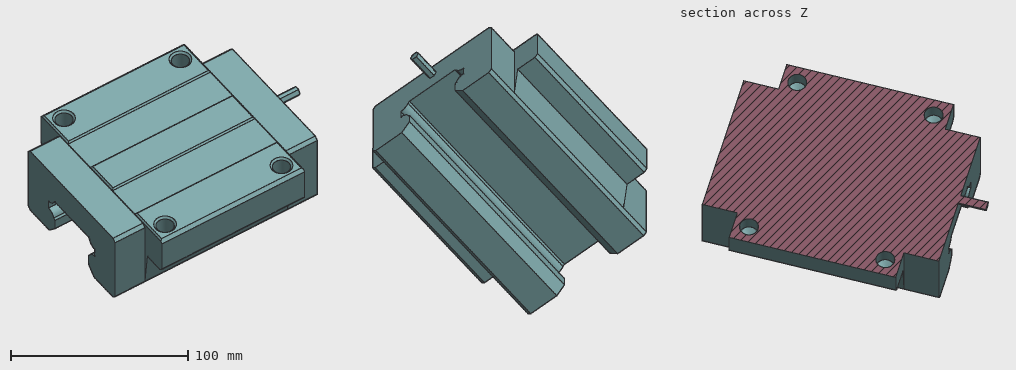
import cadquery as cq
import math


block_width = 120.0
block_height = 50.0
block_length = 98.0
flange_bottom = 25.0
edge_chamfer = 2.0
skirt_half_width_top = 45.5
skirt_half_width_bottom = 43.0

pad_rise = 1.0
pad_chamfer = 1.0
floor_z = block_height - pad_rise
side_pad_inner_x = 33.0
center_pad_half_width = 11.0

plate_width = 86.0
plate_height = 48.5
plate_thickness = 20.5

throat_half_width = 16.5
lip_mid_z = 20.55
throat_half_height = 7.65
slot_half_width = 22.8
slot_half_height = 2.85
lip_end_x = 17.6
lip_end_offset = 6.55
mouth_half_width = 22.1
mouth_height = 6.1

hole_spacing_x = 100.0
hole_spacing_y = 80.0
hole_diameter = 10.38
countersink_diameter = 12.8
hole_depth = 18.0
drill_tip_angle = 118.0

nipple_sides = 6
nipple_across_flats = 5.0
nipple_length = 16.0
nipple_z = 40.0

carriage_end_y = block_length / 2 + plate_thickness


def extrude_along_y(profile, start_y, length):
    """Extrude an XZ-plane profile from start_y towards +Y."""
    return profile.extrude(-length).translate((0, start_y, 0))


def make_block():
    half = block_width / 2
    right_side = [
        (skirt_half_width_bottom - edge_chamfer, 0),
        (skirt_half_width_bottom, edge_chamfer),
        (skirt_half_width_top, flange_bottom),
        (half - edge_chamfer, flange_bottom),
        (half, flange_bottom + edge_chamfer),
        (half, block_height - edge_chamfer),
        (half - edge_chamfer, block_height),
    ]
    left_side = [(-x, z) for x, z in reversed(right_side)]
    profile = cq.Workplane("XZ").polyline(right_side + left_side).close()
    return extrude_along_y(profile, -block_length / 2, block_length)


def make_top_groove(inner_x, outer_x):
    """Channel between two pads, with its walls sloped by the pad chamfer."""
    profile = cq.Workplane("XZ").polyline([
        (inner_x, floor_z),
        (outer_x, floor_z),
        (outer_x + pad_chamfer, block_height),
        (inner_x - pad_chamfer, block_height),
    ]).close()
    return extrude_along_y(profile, -block_length / 2, block_length)


def make_pad_end_bevel():
    """Wedge that bevels the pads at the +Y end of the block."""
    end_y = block_length / 2
    return (
        cq.Workplane("YZ")
        .polyline([(end_y, floor_z), (end_y, block_height), (end_y - pad_chamfer, block_height)])
        .close()
        .extrude(block_width / 2, both=True)
    )


def make_end_plate(start_y):
    profile = cq.Workplane("XZ").center(0, plate_height / 2).rect(plate_width, plate_height)
    return extrude_along_y(profile, start_y, plate_thickness).edges("|Y").chamfer(edge_chamfer)


def make_rail_channel():
    lip_run = slot_half_width - lip_end_x
    lip_drop = lip_end_offset - slot_half_height
    lip_radius = (lip_run**2 + lip_drop**2) / (2 * lip_drop)
    half_sweep = math.atan2(lip_drop, lip_run)
    lip_middle_x = slot_half_width - lip_radius * math.sin(half_sweep)
    lip_middle_offset = slot_half_height + lip_radius * (1 - math.cos(half_sweep))

    def lip(side, offset_sign):
        """Start, middle and end of one raceway lip, from the slot to the throat."""
        offsets = [
            (slot_half_width, slot_half_height),
            (lip_middle_x, lip_middle_offset),
            (lip_end_x, lip_end_offset),
        ]
        return [(side * x, lip_mid_z + offset_sign * dz) for x, dz in offsets]

    throat_bottom = lip_mid_z - throat_half_height
    throat_top = lip_mid_z + throat_half_height
    lower_right = lip(1, -1)
    upper_right = lip(1, 1)
    lower_left = lip(-1, -1)
    upper_left = lip(-1, 1)
    profile = (
        cq.Workplane("XZ")
        .moveTo(mouth_half_width, 0)
        .lineTo(throat_half_width, mouth_height)
        .lineTo(throat_half_width, throat_bottom)
        .lineTo(*lower_right[2])
        .threePointArc(lower_right[1], lower_right[0])
        .lineTo(*upper_right[0])
        .threePointArc(upper_right[1], upper_right[2])
        .lineTo(throat_half_width, throat_top)
        .lineTo(-throat_half_width, throat_top)
        .lineTo(*upper_left[2])
        .threePointArc(upper_left[1], upper_left[0])
        .lineTo(*lower_left[0])
        .threePointArc(lower_left[1], lower_left[2])
        .lineTo(-throat_half_width, throat_bottom)
        .lineTo(-throat_half_width, mouth_height)
        .lineTo(-mouth_half_width, 0)
        .close()
    )
    return extrude_along_y(profile, -carriage_end_y, 2 * carriage_end_y)


def make_mounting_hole():
    """Countersunk blind hole with a drill-point bottom, opening at the origin towards +Z."""
    radius = hole_diameter / 2
    countersink_radius = countersink_diameter / 2
    countersink_depth = countersink_radius - radius
    tip_depth = radius / math.tan(math.radians(drill_tip_angle / 2))
    return (
        cq.Workplane("XZ")
        .polyline([
            (0, 0),
            (countersink_radius, 0),
            (radius, -countersink_depth),
            (radius, -hole_depth),
            (0, -hole_depth - tip_depth),
        ])
        .close()
        .revolve(360, (0, 0, 0), (0, 1, 0))
    )


def make_nipple():
    across_corners = nipple_across_flats / math.cos(math.pi / nipple_sides)
    profile = cq.Workplane("XZ").center(0, nipple_z).polygon(nipple_sides, across_corners)
    return extrude_along_y(profile, carriage_end_y, nipple_length)


block = make_block()

groove = make_top_groove(center_pad_half_width, side_pad_inner_x)
block = block.cut(groove).cut(groove.mirror("YZ"))

end_bevel = make_pad_end_bevel()
block = block.cut(end_bevel).cut(end_bevel.mirror("XZ"))

mounting_hole = make_mounting_hole()
for side_x in (-1, 1):
    for side_y in (-1, 1):
        hole_position = (side_x * hole_spacing_x / 2, side_y * hole_spacing_y / 2, block_height)
        block = block.cut(mounting_hole.translate(hole_position))

front_plate = make_end_plate(-carriage_end_y)
rear_plate = make_end_plate(block_length / 2)

carriage = block.union(front_plate).union(rear_plate).cut(make_rail_channel())
result = carriage.union(make_nipple())